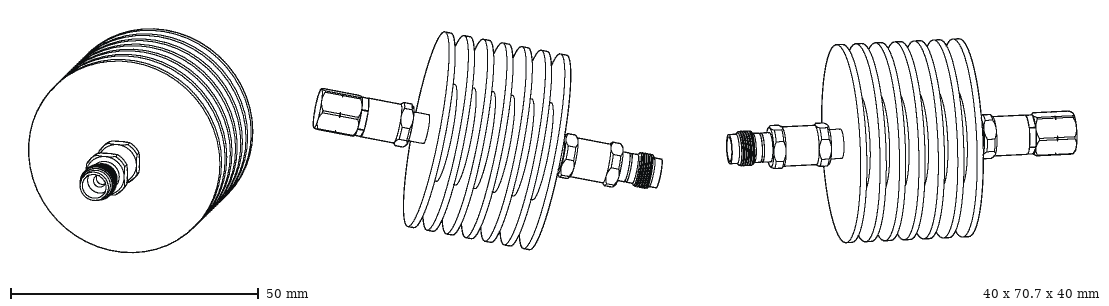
import cadquery as cq
import math


HALF_LENGTH = 35.35

FIN_RADIUS = 20.0
CORE_RADIUS = 10.0
FIN_COUNT = 7
FIN_THICKNESS = 1.3
SINK_FRONT_Y = -12.4
SINK_BACK_Y = 12.9
FIN_PITCH = (SINK_BACK_Y - SINK_FRONT_Y - FIN_THICKNESS) / (FIN_COUNT - 1)

STEM_RADIUS = 3.0
BARREL_RADIUS = 8.0 / 2
CORNER_RADIUS = 9.0 / 2
CORNER_CHAMFER = CORNER_RADIUS - BARREL_RADIUS
ACROSS_FLATS = 2 * BARREL_RADIUS
COLLAR_WIDTH = 2.55

SOCKET_BARREL_FRONT_Y = -27.0
SOCKET_BARREL_BACK_Y = -15.1
THREAD_BACK_Y = -30.4
THREAD_RADIUS = 7.0 / 2
THREAD_CHAMFER = THREAD_RADIUS - STEM_RADIUS
THREAD_PITCH = 0.5
THREAD_DEPTH = 0.3
THREAD_MOUTH = 0.4
THREAD_TURNS = 7
THREAD_LENGTH = THREAD_TURNS * THREAD_PITCH
RING_GROOVE_BACK_Y = -28.7
RING_GROOVE_WIDTH = 0.4
RING_GROOVE_DEPTH = 0.105
BORE_RADIUS = 2.5
BORE_DEPTH = 4.0
CONTACT_HOLE_RADIUS = BORE_RADIUS / 2
CONTACT_HOLE_DEPTH = 2.1

PLUG_TURN = -34.0
PLUG_COLLAR_FRONT_Y = 16.3
PLUG_BARREL_BACK_Y = 25.65
NECK_ACROSS_FLATS = 7.0

NUT_FRONT_Y = 27.0
NUT_GROOVE_Y = 31.25
NUT_GROOVE_WIDTH = 0.15
NUT_GROOVE_DEPTH = 0.15


def cylinder(radius, start_y, end_y):
    """Solid cylinder on the Y axis."""
    return cq.Workplane("XZ", origin=(0, start_y, 0)).circle(radius).extrude(start_y - end_y)


def turned(points):
    """Solid revolved about the Y axis from (radius, y) points."""
    return cq.Workplane("XY").polyline(points).close().revolve(360, (0, 0), (0, 1))


def prism(sides, across_flats, start_y, end_y):
    """Regular prism on the Y axis with one flat facing +Z."""
    corner_diameter = across_flats / math.cos(math.pi / sides)
    outline = cq.Workplane("XZ", origin=(0, start_y, 0)).polygon(sides, corner_diameter)
    bar = outline.extrude(start_y - end_y)
    flat_turn = 90 - 180 / sides
    return bar.rotate((0, 0, 0), (0, 1, 0), flat_turn)


def chamfered_disc(radius, chamfer, start_y, end_y):
    """Disc on the Y axis with a 45 degree chamfer on both rims."""
    return turned([
        (0, start_y),
        (radius - chamfer, start_y),
        (radius, start_y + chamfer),
        (radius, end_y - chamfer),
        (radius - chamfer, end_y),
        (0, end_y),
    ])


def flatted_disc(sides, start_y, end_y):
    """Chamfered disc with wrench flats cut around it."""
    disc = chamfered_disc(CORNER_RADIUS, CORNER_CHAMFER, start_y, end_y)
    return disc.intersect(prism(sides, ACROSS_FLATS, start_y, end_y))


def v_groove_cutter(radius, depth, width, middle_y):
    """Cutter for a V groove around a cylinder of the given radius."""
    return turned([
        (radius - depth, middle_y),
        (radius + depth, middle_y - width),
        (radius + depth, middle_y + width),
    ])


def make_heat_sink():
    sink = cylinder(CORE_RADIUS, SINK_FRONT_Y, SINK_BACK_Y)
    for index in range(FIN_COUNT):
        fin_y = SINK_FRONT_Y + index * FIN_PITCH
        sink = sink.union(cylinder(FIN_RADIUS, fin_y, fin_y + FIN_THICKNESS))
    return sink


def make_thread_turn(start_y):
    """One right-hand turn of a helical V cutter, a little proud of the thread crest."""
    overshoot = 1.1
    outer_radius = THREAD_RADIUS - THREAD_DEPTH + overshoot * THREAD_DEPTH
    outer_half_width = overshoot * THREAD_MOUTH / 2
    helix = cq.Workplane(cq.Wire.makeHelix(THREAD_PITCH, THREAD_PITCH, THREAD_RADIUS))
    profile = cq.Workplane("XZ").polyline([
        (THREAD_RADIUS - THREAD_DEPTH, 0),
        (outer_radius, outer_half_width),
        (outer_radius, -outer_half_width),
    ]).close()
    turn = profile.sweep(helix, isFrenet=True)
    return turn.rotate((0, 0, 0), (1, 0, 0), -90).translate((0, start_y, 0))


def make_thread():
    front_y = THREAD_BACK_Y - THREAD_LENGTH
    thread = chamfered_disc(THREAD_RADIUS, THREAD_CHAMFER, front_y, THREAD_BACK_Y)
    for index in range(THREAD_TURNS):
        thread = thread.cut(make_thread_turn(front_y + index * THREAD_PITCH))
    return thread


def make_socket():
    socket = cylinder(STEM_RADIUS, -HALF_LENGTH, SINK_FRONT_Y)

    groove_front_y = RING_GROOVE_BACK_Y - RING_GROOVE_WIDTH
    ring = cylinder(STEM_RADIUS, groove_front_y, RING_GROOVE_BACK_Y)
    ring = ring.cut(cylinder(STEM_RADIUS - RING_GROOVE_DEPTH, groove_front_y, RING_GROOVE_BACK_Y))
    socket = socket.cut(ring)

    barrel_front_y = SOCKET_BARREL_FRONT_Y + COLLAR_WIDTH
    barrel_back_y = SOCKET_BARREL_BACK_Y - COLLAR_WIDTH
    socket = socket.union(cylinder(BARREL_RADIUS, barrel_front_y, barrel_back_y))
    for collar_y in (SOCKET_BARREL_FRONT_Y, barrel_back_y):
        socket = socket.union(flatted_disc(4, collar_y, collar_y + COLLAR_WIDTH))

    socket = socket.union(make_thread())

    bore_floor_y = -HALF_LENGTH + BORE_DEPTH
    socket = socket.cut(cylinder(BORE_RADIUS, -HALF_LENGTH, bore_floor_y))
    return socket.cut(cylinder(CONTACT_HOLE_RADIUS, bore_floor_y, bore_floor_y + CONTACT_HOLE_DEPTH))


def make_plug():
    collar_back_y = PLUG_COLLAR_FRONT_Y + COLLAR_WIDTH
    plug = cylinder(STEM_RADIUS, SINK_BACK_Y, PLUG_COLLAR_FRONT_Y)
    plug = plug.union(flatted_disc(4, PLUG_COLLAR_FRONT_Y, collar_back_y))
    plug = plug.union(cylinder(BARREL_RADIUS, collar_back_y, PLUG_BARREL_BACK_Y))

    neck = cylinder(BARREL_RADIUS, PLUG_BARREL_BACK_Y, NUT_FRONT_Y)
    neck = neck.intersect(prism(6, NECK_ACROSS_FLATS, PLUG_BARREL_BACK_Y, NUT_FRONT_Y))
    return plug.union(neck).rotate((0, 0, 0), (0, 1, 0), PLUG_TURN)


def make_attenuator():
    return make_heat_sink().union(make_socket()).union(make_plug())


def make_coupling_nut():
    nut = flatted_disc(6, NUT_FRONT_Y, HALF_LENGTH)
    return nut.cut(v_groove_cutter(CORNER_RADIUS, NUT_GROOVE_DEPTH, NUT_GROOVE_WIDTH, NUT_GROOVE_Y))


attenuator = make_attenuator()
coupling_nut = make_coupling_nut()

result = cq.Compound.makeCompound([attenuator.solids().val(), coupling_nut.solids().val()])